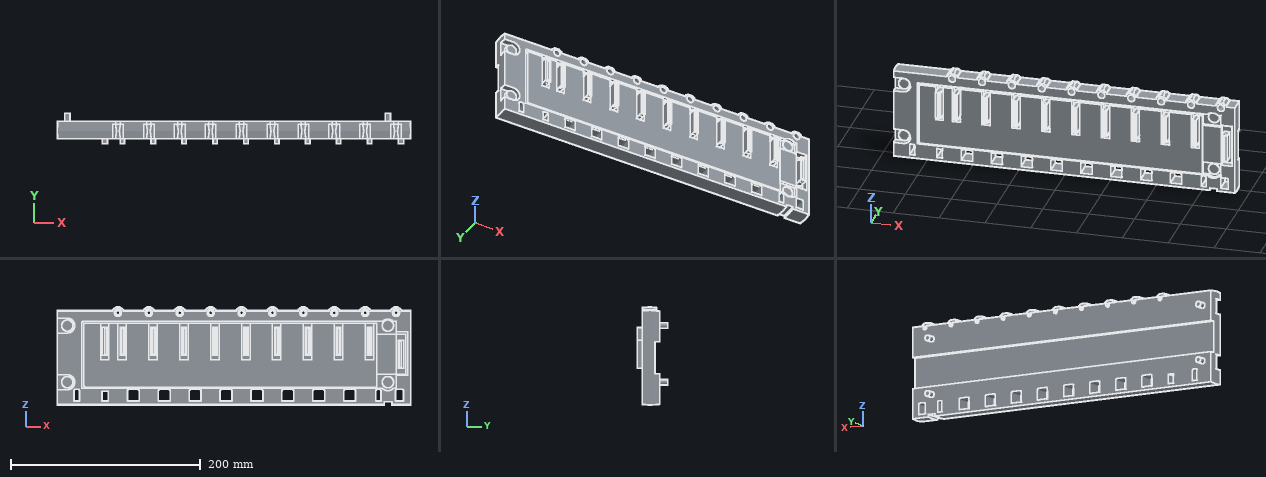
import cadquery as cq


length = 373.0
body_height = 100.0
parting_depth = 8.2
body_depth = 18.5
draft_inset = 0.7
end_draft_inset = 0.5

channel_bottom = 33.2
channel_width = 33.5
channel_depth = 5.0

slot_count = 9
lug_count = slot_count + 1
first_lug_x = 64.0
last_lug_x = 357.5
pitch = (last_lug_x - first_lug_x) / slot_count

tray_left = 26.0
tray_right = 357.5
tray_bottom = 18.0
tray_top = 88.5
tray_depth = 4.0
panel_left = 28.5
panel_right = 337.2
panel_bottom = 19.0
panel_top = 86.0
corner_radius = 1.5
block_bottom = 32.5
block_top = 75.0
block_recess = 0.7

socket_pocket_depth = parting_depth
socket_projection = 5.2
socket_length = 29.5
socket_bottom = 52.5
contact_slot_depth = 6.0
contact_slot_margin = 1.0
pocket_bottom = 48.0
module_pocket_left = 64.0
module_pocket_width = 9.0
module_socket_left = 66.5
module_socket_width = 5.0
module_contact_offset = 1.5
module_contact_width = 2.0
supply_pocket_left = 46.3
supply_pocket_width = 8.2
supply_socket_left = 47.5
end_socket_width = 6.0
end_contact_width = 2.2
thin_wall = 1.0
end_pocket_right = 369.5
end_pocket_border = 2.2
end_plate_recess = 6.0
extension_socket_left = 359.5
extension_socket_bottom = 38.8

screw_left_x = 11.0
screw_right_x = 348.8
screw_heights = (24.2, 84.0)
screw_head_radius = 6.0
screw_head_front = 3.7
screw_shank_radius = 3.0
screw_tip = 27.2
bore_radius = 8.0
right_bore_drop = 1.0

window_bottom = 4.5
window_top = 16.8
window_radius = 2.0
module_window_left = 74.2
module_window_width = 12.3
module_window_count = 8
left_window = (18.0, 5.5)
supply_window = (47.5, 6.5)
supply_window_top = 14.5
right_windows = ((336.0, 5.2), (357.0, 8.2))
notch_left = 345.0
notch_width = 8.0
notch_height = 3.5

lug_top = 103.7
lug_shoulder = 100.7
lug_half_width = 5.5
lug_facet = 103.0
lug_facet_half_width = 2.5
lug_top_half_width = 1.5
lug_back = 15.3
lug_root = 97.0
hole_height = 97.5
hole_radius = 2.2
countersink_radius = 3.7
countersink_depth = 5.5


def box(x_left, width, z_bottom, z_top, y_front, y_back):
    """Axis-aligned box given by its left edge, width, height range and depth range."""
    size = (width, y_back - y_front, z_top - z_bottom)
    return cq.Workplane("XY").box(*size, centered=False).translate((x_left, y_front, z_bottom))


def front_plane(y):
    """Sketch plane at depth y whose normal points to the front (-Y)."""
    return cq.Workplane("XZ", origin=(0, y, 0))


def cylinder(x, z, radius, y_front, y_back):
    return front_plane(y_back).center(x, z).circle(radius).extrude(y_back - y_front)


def drafted_bar(x_left, width, z_bottom, z_top, y_back):
    """Bar along X whose top and bottom slope away from the parting plane to the front and the back."""
    profile = [
        (0, z_bottom + draft_inset),
        (parting_depth, z_bottom),
        (y_back, z_bottom + draft_inset),
        (y_back, z_top - draft_inset),
        (parting_depth, z_top),
        (0, z_top - draft_inset),
    ]
    return cq.Workplane("YZ", origin=(x_left, 0, 0)).polyline(profile).close().extrude(width)


def make_housing():
    end_profile = [
        (end_draft_inset, 0),
        (length - end_draft_inset, 0),
        (length, parting_depth),
        (length - end_draft_inset, body_depth),
        (end_draft_inset, body_depth),
        (0, parting_depth),
    ]
    housing = drafted_bar(0, length, 0, body_height, body_depth)
    housing = housing.intersect(cq.Workplane("XY").polyline(end_profile).close().extrude(body_height))
    channel_top = channel_bottom + channel_width
    return housing.cut(box(0, length, channel_bottom, channel_top, body_depth - channel_depth, body_depth))


def make_lug(x):
    """Faceted arch standing on the top edge, drafted like the housing."""
    right_side = [
        (lug_half_width, lug_root),
        (lug_half_width, lug_shoulder),
        (lug_facet_half_width, lug_facet),
        (lug_top_half_width, lug_top),
    ]
    left_side = [(-offset, z) for offset, z in reversed(right_side)]
    arch = front_plane(lug_back).center(x, 0).polyline(right_side + left_side).close().extrude(lug_back)
    limits = drafted_bar(x - lug_half_width, 2 * lug_half_width, 0, lug_top, lug_back)
    return arch.intersect(limits)


def add_lugs(part):
    for i in range(lug_count):
        x = first_lug_x + i * pitch
        part = part.union(make_lug(x))
        part = part.cut(cylinder(x, hole_height, hole_radius, 0, body_depth))
        groove = box(x - hole_radius, 2 * hole_radius, hole_height, lug_top, lug_back, body_depth)
        cone = cq.Solid.makeCone(
            countersink_radius,
            hole_radius,
            countersink_depth,
            cq.Vector(x, 0, hole_height),
            cq.Vector(0, 1, 0),
        )
        part = part.cut(groove).cut(cq.Workplane(cone))
    return part


def add_tray(part):
    tray = box(tray_left, tray_right - tray_left, tray_bottom, tray_top, 0, tray_depth)
    tray = tray.edges("|Y and <X and >Z").fillet(corner_radius)
    panel = box(panel_left, panel_right - panel_left, panel_bottom, panel_top, 0, tray_depth)
    panel = panel.edges("|Y and <X and <Z").fillet(corner_radius)
    block = box(panel_right, tray_right - panel_right, block_bottom, block_top, block_recess, tray_depth)
    return part.cut(tray).union(panel).union(block)


def make_socket(x_left, width, z_bottom, contact_offset, contact_width):
    """Upright connector rising from its pocket floor, with a contact slot in its front face."""
    z_top = z_bottom + socket_length
    y_front = -socket_projection
    shell = box(x_left, width, z_bottom, z_top, y_front, socket_pocket_depth)
    slot = box(
        x_left + contact_offset,
        contact_width,
        z_bottom + contact_slot_margin,
        z_top - contact_slot_margin,
        y_front,
        y_front + contact_slot_depth,
    )
    return shell.cut(slot)


def add_module_sockets(part):
    for i in range(slot_count):
        shift = i * pitch
        pocket_left = module_pocket_left + shift
        pocket = box(pocket_left, module_pocket_width, pocket_bottom, panel_top, 0, socket_pocket_depth)
        socket = make_socket(
            module_socket_left + shift,
            module_socket_width,
            socket_bottom,
            module_contact_offset,
            module_contact_width,
        )
        part = part.cut(pocket).union(socket)
    return part


def add_end_sockets(part):
    """Supply socket at the left, and the extension socket at the right turned half round."""
    pocket = box(
        supply_pocket_left, supply_pocket_width, pocket_bottom, panel_top, 0, socket_pocket_depth
    )
    thick_wall = end_socket_width - end_contact_width - thin_wall
    supply = make_socket(
        supply_socket_left, end_socket_width, socket_bottom, thick_wall, end_contact_width
    )
    part = part.cut(pocket).union(supply)

    pocket = box(
        tray_right,
        end_pocket_right - tray_right,
        block_bottom - end_pocket_border / 2,
        block_top + end_pocket_border,
        0,
        socket_pocket_depth,
    )
    plate_width = end_pocket_right - end_pocket_border - tray_right
    plate = box(tray_right, plate_width, block_bottom, block_top, end_plate_recess, socket_pocket_depth)
    extension = make_socket(
        extension_socket_left, end_socket_width, extension_socket_bottom, thin_wall, end_contact_width
    )
    return part.cut(pocket).union(plate).union(extension)


def add_screws(part):
    for z in screw_heights:
        part = part.cut(cylinder(screw_left_x, z, bore_radius, 0, parting_depth))
        part = part.cut(box(0, screw_left_x, z - bore_radius, z + bore_radius, 0, parting_depth))
        part = part.cut(cylinder(screw_right_x, z - right_bore_drop, bore_radius, 0, tray_depth))
        for x in (screw_left_x, screw_right_x):
            part = part.union(cylinder(x, z, screw_head_radius, screw_head_front, parting_depth))
            part = part.union(cylinder(x, z, screw_shank_radius, parting_depth, screw_tip))
    return part


def round_top_window(x_left, width):
    window = box(x_left, width, window_bottom, window_top, 0, body_depth)
    return window.edges("|Y and >Z").fillet(window_radius)


def cut_windows(part):
    for i in range(module_window_count):
        part = part.cut(round_top_window(module_window_left + i * pitch, module_window_width))
    for x_left, width in (left_window, *right_windows):
        part = part.cut(round_top_window(x_left, width))
    x_left, width = supply_window
    part = part.cut(box(x_left, width, window_bottom, supply_window_top, 0, body_depth))
    return part.cut(box(notch_left, notch_width, 0, notch_height, 0, body_depth))


result = make_housing()
result = add_lugs(result)
result = add_tray(result)
result = add_module_sockets(result)
result = add_end_sockets(result)
result = add_screws(result)
result = cut_windows(result)